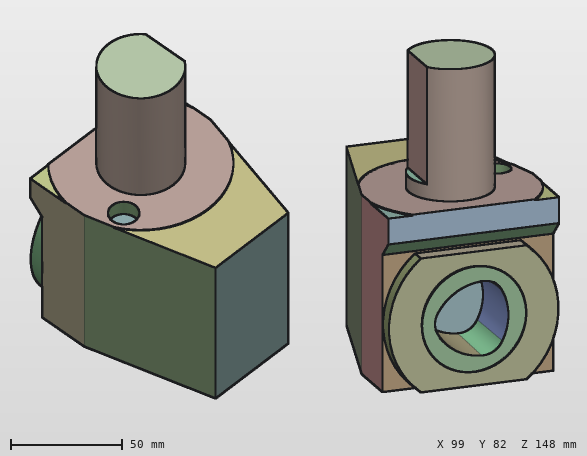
import cadquery as cq
import math


block_height = 84.8
half_width = 41.0
lip_x = -29.5
front_face_x = -22.0
taper_start_x = 4.1
back_x = 69.0
taper_angle = 15.0
lip_bottom_z = 72.5

seat_radius = 41.6
seat_top_z = 85.2

shank_diameter = 40.0
shank_top_z = 148.0
flat_y = 15.8
flat_bottom_z = 92.4

hole_diameter = 14.0
hole_depth = 8.0
hole_x = 16.0
hole_y = -27.8

bore_z = 32.1
flange_radius = 40.7
flange_half_height = 31.8
ring_diameter = 50.0
ring_face_x = -30.0

bore_mean_radius = 17.6
bore_lobe = 1.2
bore_depth = 30.0
bore_taper = 1 / 20


def x_cylinder(radius, start_x, end_x):
    """Cylinder along +X on the bore axis."""
    return (
        cq.Workplane("YZ", origin=(start_x, 0, bore_z))
        .circle(radius)
        .extrude(end_x - start_x)
    )


def plan_prism(height):
    """Prism of the block's tapered plan outline."""
    back_half_width = half_width - (back_x - taper_start_x) * math.tan(math.radians(taper_angle))
    return (
        cq.Workplane("XY")
        .moveTo(lip_x, -half_width)
        .lineTo(taper_start_x, -half_width)
        .lineTo(back_x, -back_half_width)
        .lineTo(back_x, back_half_width)
        .lineTo(taper_start_x, half_width)
        .lineTo(lip_x, half_width)
        .close()
        .extrude(height)
    )


def lip_relief():
    """Space below the front lip, ending in a 45 degree underside."""
    lip_depth = front_face_x - lip_x
    return (
        cq.Workplane("XZ", origin=(0, half_width, 0))
        .moveTo(lip_x, 0)
        .lineTo(front_face_x, 0)
        .lineTo(front_face_x, lip_bottom_z - lip_depth)
        .lineTo(lip_x, lip_bottom_z)
        .close()
        .extrude(2 * half_width)
    )


def make_block():
    seat = cq.Workplane("XY").circle(seat_radius).extrude(seat_top_z)
    raised_seat = plan_prism(seat_top_z).intersect(seat)
    return plan_prism(block_height).union(raised_seat).cut(lip_relief())


def make_shank():
    radius = shank_diameter / 2
    shank = cq.Workplane("XY").circle(radius).extrude(shank_top_z)
    flat_cut = (
        cq.Workplane("XY", origin=(0, 0, flat_bottom_z))
        .rect(shank_diameter, 2 * (radius - flat_y))
        .extrude(shank_top_z - flat_bottom_z)
        .translate((0, radius, 0))
    )
    return shank.cut(flat_cut)


def make_flange():
    flange = x_cylinder(flange_radius, lip_x, front_face_x)
    flats = cq.Workplane("XY").box(
        2 * flange_radius, 2 * flange_radius, 2 * flange_half_height
    ).translate((lip_x, 0, bore_z))
    ring = x_cylinder(ring_diameter / 2, ring_face_x, front_face_x)
    return flange.intersect(flats).union(ring)


def bore_point(mean_radius, normal_angle):
    """Point on the three-lobed curve whose tangents lie R + e*cos(3a) from the axis."""
    angle = math.radians(normal_angle)
    reach = mean_radius + bore_lobe * math.cos(3 * angle)
    slope = -3 * bore_lobe * math.sin(3 * angle)
    return (
        reach * math.cos(angle) - slope * math.sin(angle),
        reach * math.sin(angle) + slope * math.cos(angle),
    )


def bore_outline(plane, mean_radius):
    """Draw three tight lobe arcs alternating with three flatter arcs."""
    outline = plane.moveTo(*bore_point(mean_radius, -30))
    for middle in range(0, 360, 60):
        outline = outline.threePointArc(
            bore_point(mean_radius, middle), bore_point(mean_radius, middle + 30)
        )
    return outline.close()


def make_bore():
    end_radius = bore_mean_radius - bore_depth * bore_taper / 2
    mouth = bore_outline(cq.Workplane("YZ", origin=(ring_face_x, 0, bore_z)), bore_mean_radius)
    both_ends = bore_outline(
        mouth.workplane(offset=bore_depth, origin=(ring_face_x, 0, bore_z)), end_radius
    )
    return both_ends.loft(ruled=True, combine=True)


def make_hole():
    return (
        cq.Workplane("XY", origin=(hole_x, hole_y, seat_top_z - hole_depth))
        .circle(hole_diameter / 2)
        .extrude(hole_depth)
    )


result = make_block().union(make_shank()).union(make_flange()).cut(make_bore()).cut(make_hole())